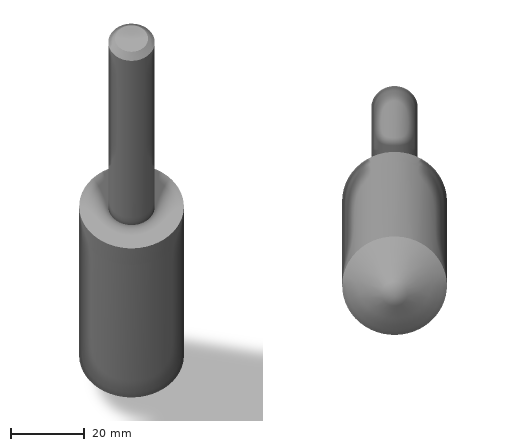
import cadquery as cq
import math

total_length = 152.4
body_diameter = 28.5

point_angle = 118.0
head_length = 68.7

collar_height = 7.5
shank_diameter = 12.6
chamfer_width = 1.8
chamfer_height = 1.7

body_radius = body_diameter / 2
point_height = body_radius / math.tan(math.radians(point_angle / 2))
collar_top = head_length + collar_height


def make_head():
    """Cylinder that ends in a conical point."""
    half_profile = (
        cq.Workplane("XZ")
        .lineTo(body_radius, point_height)
        .lineTo(body_radius, head_length)
        .lineTo(0, head_length)
        .close()
    )
    return half_profile.revolve(360, (0, 0, 0), (0, 1, 0))


def make_shank():
    """Collar that sits on the head, with a slim rod chamfered at its free end."""
    shank_radius = shank_diameter / 2
    half_profile = (
        cq.Workplane("XZ")
        .moveTo(0, head_length)
        .lineTo(body_radius, head_length)
        .lineTo(body_radius, collar_top)
        .lineTo(shank_radius, collar_top)
        .lineTo(shank_radius, total_length - chamfer_height)
        .lineTo(shank_radius - chamfer_width, total_length)
        .lineTo(0, total_length)
        .close()
    )
    return half_profile.revolve(360, (0, 0, 0), (0, 1, 0))


head = make_head()
shank = make_shank()

result = cq.Compound.makeCompound([head.val(), shank.val()])